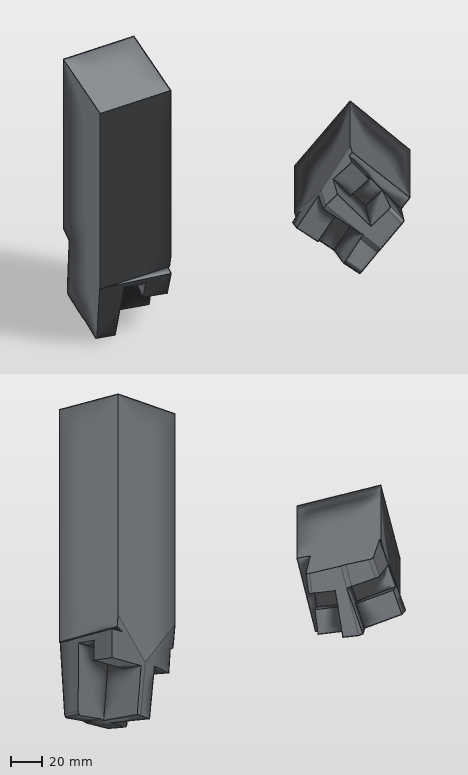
import cadquery as cq
import math

shank_width = 55.3
shank_depth = 50.0
height = 208.8

front_top_left = (8.8, 55.8)
front_top_right = (54.5, 52.6)
front_bottom_right = (50.1, 3.3)
front_step_right = (32.4, 5.5)
front_step_left = (29.0, 4.8)
front_bottom_left = (5.8, 6.3)

back_top_left = (2.7, 50.3)
back_top_right = (59.5, 50.5)
back_bottom_right = (54.5, -2.0)
back_step_right = (32.4, -0.2)
back_step_left = (29.0, -0.5)
back_bottom_left = (-0.5, 1.0)
corner_radius = 2.5

notch_front_height = 58.9
notch_back_height = 51.8

shank_core_bottom = 46.0
shank_right_bottom = 52.8

ridge_x = 29.0
ridge_start_height = 34.9
ridge_bottom_depth = 46.0
left_relief_height = 67.7
right_relief_height = 60.5
relief_size = 2 * height

neck_left = 18.8
neck_right = 32.0
pocket_overrun = 6.3
pocket_lean = 3.3
neck_taper = 0.09
right_pocket_drop = 3.0
plate_back_top = (16.0, 51.4)
tab_front_top = (30.7, 50.0)
tab_front_bottom = (29.5, 37.0)
tab_back_bottom = (54.3, 34.0)
pocket_floor = -10.5
plate_back_floor = 9.6


def flared_solid(front_outline, back_outline):
    """Join an outline on the front face to one on the back plane."""
    front = cq.Wire.makePolygon([cq.Vector(x, 0, z) for x, z in front_outline], close=True)
    back = cq.Wire.makePolygon([cq.Vector(x, shank_depth, z) for x, z in back_outline], close=True)
    return cq.Workplane(obj=cq.Solid.makeLoft([front, back], True))


def make_shank():
    core_left = shank_width / 2
    core_right = shank_width * 3 / 4
    top = [(shank_width, height), (0, height)]
    front = [
        (0, notch_front_height),
        front_top_left,
        (core_left, shank_core_bottom),
        (core_right, shank_core_bottom),
        (shank_width, shank_right_bottom),
    ]
    back = [
        (0, notch_back_height),
        back_top_left,
        (core_left, shank_core_bottom),
        (core_right, shank_core_bottom),
        (shank_width, shank_right_bottom),
    ]
    return flared_solid(front + top, back + top)


def make_head():
    head = flared_solid(
        [
            front_top_left,
            front_top_right,
            front_bottom_right,
            front_step_right,
            front_step_left,
            front_bottom_left,
        ],
        [
            back_top_left,
            back_top_right,
            back_bottom_right,
            back_step_right,
            back_step_left,
            back_bottom_left,
        ],
    )
    middle_height = (front_bottom_left[1] + front_top_left[1]) / 2
    long_edges = [
        edge for edge in head.edges().vals()
        if edge.BoundingBox().ylen > shank_depth / 2 and edge.Center().z < middle_height
    ]
    long_edges.sort(key=lambda edge: edge.Center().x)
    return head.newObject([long_edges[0], long_edges[-1]]).fillet(corner_radius)


def back_relief(side_x, relief_height):
    """Large block behind one of the two back faces."""
    ridge_top = cq.Vector(ridge_x, shank_depth, ridge_start_height)
    ridge_bottom = cq.Vector(ridge_x, ridge_bottom_depth, 0)
    side_top = cq.Vector(side_x, shank_depth, relief_height)
    ridge = ridge_bottom - ridge_top
    normal = ridge.cross(side_top - ridge_top)
    if normal.y < 0:
        normal = normal * -1
    plane = cq.Plane(origin=ridge_top, xDir=ridge, normal=normal)
    return cq.Workplane(plane).rect(relief_size, relief_size).extrude(shank_depth)


def side_pocket(outer_x, neck_x, drop):
    """Pocket beside the neck, leaning backward as it goes inward."""
    outline = [
        plate_back_top,
        tab_front_top,
        tab_front_bottom,
        tab_back_bottom,
        (tab_back_bottom[0], pocket_floor),
        (plate_back_floor, pocket_floor),
    ]
    outer = cq.Wire.makePolygon([cq.Vector(outer_x, y, z - drop) for y, z in outline], close=True)
    toward_center = math.copysign(neck_taper, neck_x - outer_x)
    inner_points = []
    for y, z in outline:
        inner_y = y + pocket_lean
        inner_x = neck_x + toward_center * (ridge_bottom_depth - inner_y)
        inner_points.append(cq.Vector(inner_x, inner_y, z - drop))
    inner = cq.Wire.makePolygon(inner_points, close=True)
    return cq.Workplane(obj=cq.Solid.makeLoft([outer, inner], True))


result = make_shank().union(make_head())

result = result.cut(back_relief(0, left_relief_height))
result = result.cut(back_relief(shank_width, right_relief_height))

result = result.cut(side_pocket(-pocket_overrun, neck_left, 0))
result = result.cut(side_pocket(shank_width + pocket_overrun, neck_right, right_pocket_drop))